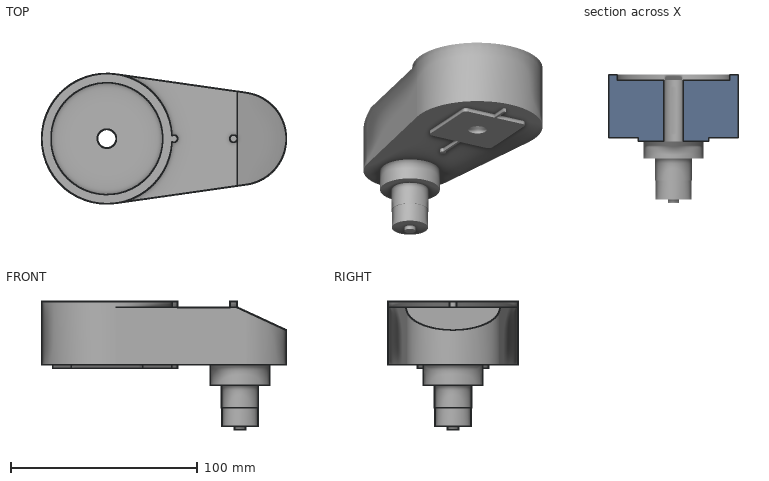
import cadquery as cq
import math

OVERALL_LENGTH = 131.4

HEAD_DIAMETER = 70.0
HEAD_HEIGHT = 34.0
RECESS_DIAMETER = 60.0
RECESS_DEPTH = 3.0
BORE_DIAMETER = 10.0

NOSE_RADIUS = 25.0
ARM_HEIGHT = 30.9
SLOPE_START_X = 105.0
NOSE_TIP_HEIGHT = 18.7

PIN_DIAMETER = 4.0
HEAD_PIN_OFFSET = 36.0

SPINDLE_STEPS = [(32.0, 11.0), (20.0, 12.0), (19.5, 10.0), (6.0, 2.0)]

PAD_THICKNESS = 2.0
PAD_SIDE = 38.4
PAD_CORNER_RADIUS = 2.2
RIB_WIDTH = 1.3
RIB_BACK_LENGTH = 29.0
RIB_END_DIAMETER = 3.2

HEAD_RADIUS = HEAD_DIAMETER / 2
HEAD_X = HEAD_RADIUS
NOSE_X = OVERALL_LENGTH - NOSE_RADIUS
NOSE_PIN_X = SLOPE_START_X - PIN_DIAMETER / 2
HEAD_PIN_X = HEAD_X + HEAD_PIN_OFFSET
RIB_END_X = HEAD_PIN_X + (PIN_DIAMETER - RIB_END_DIAMETER) / 2


def cylinder(x, diameter, bottom, height):
    """Vertical cylinder on the X axis line, starting at the given Z."""
    return cq.Workplane("XY", origin=(x, 0, bottom)).circle(diameter / 2).extrude(height)


def make_arm():
    """Arm bounded by the common tangents of head and nose, its top sloping down at the nose."""
    tangent_sine = (HEAD_RADIUS - NOSE_RADIUS) / (NOSE_X - HEAD_X)
    tangent_cosine = math.sqrt(1 - tangent_sine**2)
    head_tangent_x = HEAD_X + HEAD_RADIUS * tangent_sine
    head_tangent_y = HEAD_RADIUS * tangent_cosine
    nose_tangent_x = NOSE_X + NOSE_RADIUS * tangent_sine
    nose_tangent_y = NOSE_RADIUS * tangent_cosine
    plan = (
        cq.Workplane("XY")
        .moveTo(head_tangent_x, -head_tangent_y)
        .lineTo(nose_tangent_x, -nose_tangent_y)
        .threePointArc((OVERALL_LENGTH, 0), (nose_tangent_x, nose_tangent_y))
        .lineTo(head_tangent_x, head_tangent_y)
        .threePointArc((0, 0), (head_tangent_x, -head_tangent_y))
        .close()
        .extrude(ARM_HEIGHT)
    )
    side_profile = (
        cq.Workplane("XZ")
        .polyline([
            (0, 0),
            (OVERALL_LENGTH, 0),
            (OVERALL_LENGTH, NOSE_TIP_HEIGHT),
            (SLOPE_START_X, ARM_HEIGHT),
            (0, ARM_HEIGHT),
        ])
        .close()
        .extrude(HEAD_RADIUS, both=True)
    )
    return plan.intersect(side_profile)


def make_spindle():
    """Coaxial steps stacked downwards from the underside of the nose."""
    spindle = cq.Workplane("XY")
    top = 0
    for diameter, length in SPINDLE_STEPS:
        spindle = spindle.union(cylinder(NOSE_X, diameter, top - length, length))
        top -= length
    return spindle


def make_pad():
    """Rounded square under the head with a rib that ends in a small round boss."""
    square = (
        cq.Workplane("XY", origin=(HEAD_X, 0, -PAD_THICKNESS))
        .rect(PAD_SIDE, PAD_SIDE)
        .extrude(PAD_THICKNESS)
        .edges("|Z")
        .fillet(PAD_CORNER_RADIUS)
    )
    rib_start_x = HEAD_X - RIB_BACK_LENGTH
    rib_length = RIB_END_X - rib_start_x
    rib = cq.Workplane("XY", origin=(rib_start_x, 0, -PAD_THICKNESS)).box(
        rib_length, RIB_WIDTH, PAD_THICKNESS, centered=(False, True, False)
    )
    return square.union(rib).union(cylinder(RIB_END_X, RIB_END_DIAMETER, -PAD_THICKNESS, PAD_THICKNESS))


body = make_arm().union(cylinder(HEAD_X, HEAD_DIAMETER, 0, HEAD_HEIGHT))
for pin_x in (HEAD_PIN_X, NOSE_PIN_X):
    body = body.union(cylinder(pin_x, PIN_DIAMETER, ARM_HEIGHT, HEAD_HEIGHT - ARM_HEIGHT))
body = body.union(make_spindle()).union(make_pad())

recess = cylinder(HEAD_X, RECESS_DIAMETER, HEAD_HEIGHT - RECESS_DEPTH, RECESS_DEPTH)
bore = cylinder(HEAD_X, BORE_DIAMETER, -PAD_THICKNESS, PAD_THICKNESS + HEAD_HEIGHT)
result = body.cut(recess).cut(bore)